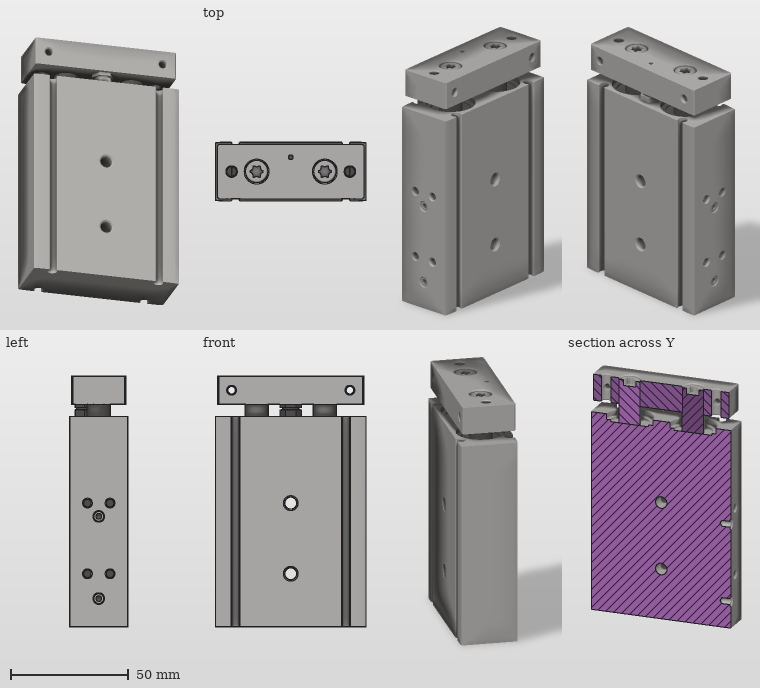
import cadquery as cq
import math

TOTAL_HEIGHT = 106.5
HOUSING_WIDTH = 64.0
HOUSING_DEPTH = 25.0
HOUSING_HEIGHT = 89.5
PLATE_WIDTH = 62.1
PLATE_DEPTH = 23.1
PLATE_HEIGHT = 11.9
PLATE_EDGE_CHAMFER = 0.6

PLATE_BOTTOM = TOTAL_HEIGHT - PLATE_HEIGHT
PLATE_MIDDLE = PLATE_BOTTOM + PLATE_HEIGHT / 2
ROD_OFFSET = 14.5

EDGE_CURVE_WIDTH = 3.6
EDGE_CURVE_RADIUS = 21.3

SLOT_OFFSET = 23.4
SLOT_NECK_WIDTH = 3.0
SLOT_MOUTH_CHAMFER = 0.4
SLOT_ROUND_DIAMETER = 4.0
SLOT_ROUND_DEPTH = 2.0

RECESS_DIAMETER = 21.0
RECESS_MOUTH = 21.5
RECESS_DEPTH = 2.5
INNER_RECESS_DIAMETER = 17.3
INNER_RECESS_DEPTH = 3.3

MOUNT_HOLE_DIAMETER = 5.0
MOUNT_HOLE_MOUTH = 6.3
MOUNT_HOLE_HEIGHTS = (22.6, 52.6)
SIDE_HOLE_DIAMETER = 3.2
SIDE_HOLE_MOUTH = 4.2
SIDE_HOLE_DEPTH = 5.3
SIDE_HOLE_OFFSET = 4.8
PORT_DIAMETER = 4.2
PORT_MOUTH = 4.9
PORT_DEPTH = 0.5
PORT_DRILL_DIAMETER = 2.5
PORT_DRILL_DEPTH = 4.3
PORT_HEIGHTS = (12.0, 47.0)
DRILL_POINT_ANGLE = 118.0

PLATE_HOLE_OFFSET = 25.1
PLATE_HOLE_DIAMETER = 4.2
PLATE_HOLE_MOUTH = 4.9
CROSS_HOLE_DIAMETER = 3.2
CROSS_HOLE_MOUTH = 4.2
ACCESS_HOLE_DIAMETER = 2.0

ROD_DIAMETER = 10.0
ROD_NECK_DIAMETER = 9.5
ROD_HOLE_MOUTH = 10.5
ROD_TOP_GAP = 0.5
ROD_END_ROUND = 0.7
SOCKET_LOBES = 6
SOCKET_DIAMETER = 5.5
SOCKET_WAIST = 4.0
SOCKET_FLANK_DIAMETER = 5.1
SOCKET_TIP_ANGLE = 20.0
SOCKET_DEPTH = 2.7

BOLT_Y = 6.1
HEX_FLATS = 8.0
BOLT_HEAD_HEIGHT = 2.9
BOLT_HEAD_CROWN = 7.5
BOLT_HEAD_CHAMFER_ANGLE = 15.0
BOLT_COLLAR_DIAMETER = 6.9
NUT_HEIGHT = 1.4
BOLT_SHANK_DIAMETER = 5.0


def tapered_hole(start, direction, diameter, mouth, depth):
    """Round hole with a 45 degree chamfer at the mouth."""
    mouth_depth = (mouth - diameter) / 2
    bore = cq.Solid.makeCylinder(diameter / 2, depth, start, direction)
    chamfer = cq.Solid.makeCone(mouth / 2, diameter / 2, mouth_depth, start, direction)
    return bore.fuse(chamfer)


def through_hole(start, direction, diameter, mouth, length):
    """Round hole that passes through and has a chamfer at both mouths."""
    near = tapered_hole(start, direction, diameter, mouth, length)
    far = tapered_hole(start + direction * length, -direction, diameter, mouth, length)
    return near.fuse(far)


def sensor_slot(x, side):
    """Slot along the whole housing in the broad face on the given Y side."""
    face_y = HOUSING_DEPTH / 2
    neck = SLOT_NECK_WIDTH / 2
    mouth = neck + SLOT_MOUTH_CHAMFER
    center_y = face_y - SLOT_ROUND_DEPTH
    profile = [
        (x - mouth, side * face_y),
        (x - neck, side * (face_y - SLOT_MOUTH_CHAMFER)),
        (x - neck, side * center_y),
        (x + neck, side * center_y),
        (x + neck, side * (face_y - SLOT_MOUTH_CHAMFER)),
        (x + mouth, side * face_y),
    ]
    opening = cq.Workplane("XY").polyline(profile).close().extrude(HOUSING_HEIGHT)
    bottom_circle = cq.Workplane("XY").center(x, side * center_y).circle(SLOT_ROUND_DIAMETER / 2)
    return opening.union(bottom_circle.extrude(HOUSING_HEIGHT))


def port(height):
    """Threaded port in the -X side with a drilled hole in its floor."""
    inward = cq.Vector(1, 0, 0)
    start = cq.Vector(-HOUSING_WIDTH / 2, 0, height)
    radius = PORT_DRILL_DIAMETER / 2
    point_height = radius / math.tan(math.radians(DRILL_POINT_ANGLE / 2))
    drill = cq.Solid.makeCylinder(radius, PORT_DRILL_DEPTH, start, inward)
    point = cq.Solid.makeCone(radius, 0, point_height, start + inward * PORT_DRILL_DEPTH, inward)
    thread = tapered_hole(start, inward, PORT_DIAMETER, PORT_MOUTH, PORT_DEPTH)
    return thread.fuse(drill, point)


def broad_face_y(x):
    """Half depth of the housing within the curved strip next to the narrow side."""
    run = x - (HOUSING_WIDTH / 2 - EDGE_CURVE_WIDTH)
    sag = EDGE_CURVE_RADIUS - math.sqrt(EDGE_CURVE_RADIUS**2 - run**2)
    return HOUSING_DEPTH / 2 - sag


def make_housing():
    half_width = HOUSING_WIDTH / 2
    half_depth = HOUSING_DEPTH / 2
    flat_x = half_width - EDGE_CURVE_WIDTH
    curve_middle = half_width - EDGE_CURVE_WIDTH / 2
    housing = (
        cq.Workplane("XY")
        .moveTo(-flat_x, half_depth)
        .lineTo(flat_x, half_depth)
        .threePointArc((curve_middle, broad_face_y(curve_middle)), (half_width, broad_face_y(half_width)))
        .lineTo(half_width, 0)
        .lineTo(-half_width, 0)
        .lineTo(-half_width, broad_face_y(half_width))
        .threePointArc((-curve_middle, broad_face_y(curve_middle)), (-flat_x, half_depth))
        .close()
        .extrude(HOUSING_HEIGHT)
    )
    housing = housing.union(housing.mirror("XZ"))
    for x in (-SLOT_OFFSET, SLOT_OFFSET):
        for side in (-1, 1):
            housing = housing.cut(sensor_slot(x, side))
    down = cq.Vector(0, 0, -1)
    for x in (-ROD_OFFSET, ROD_OFFSET):
        top = cq.Vector(x, 0, HOUSING_HEIGHT)
        housing = housing.cut(tapered_hole(top, down, RECESS_DIAMETER, RECESS_MOUTH, RECESS_DEPTH))
        housing = housing.cut(cq.Solid.makeCylinder(INNER_RECESS_DIAMETER / 2, INNER_RECESS_DEPTH, top, down))
    for height in MOUNT_HOLE_HEIGHTS:
        start = cq.Vector(0, -half_depth, height)
        housing = housing.cut(
            through_hole(start, cq.Vector(0, 1, 0), MOUNT_HOLE_DIAMETER, MOUNT_HOLE_MOUTH, HOUSING_DEPTH)
        )
        for y in (-SIDE_HOLE_OFFSET, SIDE_HOLE_OFFSET):
            start = cq.Vector(-half_width, y, height)
            housing = housing.cut(
                tapered_hole(start, cq.Vector(1, 0, 0), SIDE_HOLE_DIAMETER, SIDE_HOLE_MOUTH, SIDE_HOLE_DEPTH)
            )
    for height in PORT_HEIGHTS:
        housing = housing.cut(port(height))
    return housing


def make_plate():
    plate = (
        cq.Workplane("XY", origin=(0, 0, PLATE_BOTTOM))
        .rect(PLATE_WIDTH, PLATE_DEPTH)
        .extrude(PLATE_HEIGHT)
        .edges("|Z")
        .chamfer(PLATE_EDGE_CHAMFER)
    )
    down = cq.Vector(0, 0, -1)
    for side in (-1, 1):
        rod_top = cq.Vector(side * ROD_OFFSET, 0, TOTAL_HEIGHT)
        plate = plate.cut(tapered_hole(rod_top, down, ROD_NECK_DIAMETER, ROD_HOLE_MOUTH, PLATE_HEIGHT))
        hole_top = cq.Vector(side * PLATE_HOLE_OFFSET, 0, TOTAL_HEIGHT)
        plate = plate.cut(through_hole(hole_top, down, PLATE_HOLE_DIAMETER, PLATE_HOLE_MOUTH, PLATE_HEIGHT))
        cross_start = cq.Vector(side * PLATE_HOLE_OFFSET, -PLATE_DEPTH / 2, PLATE_MIDDLE)
        plate = plate.cut(
            through_hole(cross_start, cq.Vector(0, 1, 0), CROSS_HOLE_DIAMETER, CROSS_HOLE_MOUTH, PLATE_DEPTH)
        )
    access_top = cq.Vector(0, BOLT_Y, TOTAL_HEIGHT)
    return plate.cut(cq.Solid.makeCylinder(ACCESS_HOLE_DIAMETER / 2, PLATE_HEIGHT, access_top, down))


def six_lobe_socket(x, top):
    """Socket with rounded tips joined by hollow arcs, one tip on the X axis."""

    def point(diameter, angle):
        turn = math.radians(angle)
        return (diameter / 2 * math.cos(turn), diameter / 2 * math.sin(turn))

    half_tip = SOCKET_TIP_ANGLE / 2
    pitch = 360 / SOCKET_LOBES
    outline = cq.Workplane("XY", origin=(x, 0, top)).moveTo(*point(SOCKET_FLANK_DIAMETER, -half_tip))
    for lobe in range(SOCKET_LOBES):
        tip = lobe * pitch
        outline = outline.threePointArc(
            point(SOCKET_DIAMETER, tip), point(SOCKET_FLANK_DIAMETER, tip + half_tip)
        )
        outline = outline.threePointArc(
            point(SOCKET_WAIST, tip + pitch / 2), point(SOCKET_FLANK_DIAMETER, tip + pitch - half_tip)
        )
    return outline.close().extrude(-SOCKET_DEPTH)


def make_rod(x):
    bottom = HOUSING_HEIGHT - INNER_RECESS_DEPTH
    top = TOTAL_HEIGHT - ROD_TOP_GAP
    rod = cq.Workplane("XY", origin=(x, 0, bottom)).circle(ROD_DIAMETER / 2).extrude(PLATE_BOTTOM - bottom)
    rod = rod.faces(">Z").workplane().circle(ROD_NECK_DIAMETER / 2).extrude(top - PLATE_BOTTOM)
    rod = rod.faces(">Z").edges().fillet(ROD_END_ROUND)
    return rod.cut(six_lobe_socket(x, top))


def hexagon(bottom, height):
    """Hexagonal prism on the bolt axis with two flats facing along Y."""
    corners = HEX_FLATS / math.cos(math.radians(30))
    return cq.Workplane("XY", origin=(0, BOLT_Y, bottom)).polygon(6, corners).extrude(height)


def bolt_cylinder(diameter, bottom, top):
    return cq.Workplane("XY", origin=(0, BOLT_Y, bottom)).circle(diameter / 2).extrude(top - bottom)


def crown_cone(head_top):
    """Cone that bevels the corners of the bolt head down from its round top face."""
    top_radius = BOLT_HEAD_CROWN / 2
    base_radius = top_radius + BOLT_HEAD_HEIGHT / math.tan(math.radians(BOLT_HEAD_CHAMFER_ANGLE))
    base = cq.Vector(0, BOLT_Y, head_top - BOLT_HEAD_HEIGHT)
    return cq.Workplane(cq.Solid.makeCone(base_radius, top_radius, BOLT_HEAD_HEIGHT, base))


def make_bolt():
    head_top = HOUSING_HEIGHT + BOLT_HEAD_HEIGHT
    nut_bottom = PLATE_BOTTOM - NUT_HEIGHT
    head = hexagon(HOUSING_HEIGHT, BOLT_HEAD_HEIGHT).intersect(crown_cone(head_top))
    collar = bolt_cylinder(BOLT_COLLAR_DIAMETER, head_top, nut_bottom)
    shank = bolt_cylinder(BOLT_SHANK_DIAMETER, nut_bottom, PLATE_BOTTOM)
    return head.union(collar).union(shank)


def make_nut():
    nut_bottom = PLATE_BOTTOM - NUT_HEIGHT
    return hexagon(nut_bottom, NUT_HEIGHT).cut(bolt_cylinder(BOLT_SHANK_DIAMETER, nut_bottom, PLATE_BOTTOM))


housing = make_housing()
plate = make_plate()
rods = [make_rod(x) for x in (-ROD_OFFSET, ROD_OFFSET)]
bolt = make_bolt()
nut = make_nut()
result = cq.Compound.makeCompound(
    [housing.val(), plate.val(), *[rod.val() for rod in rods], bolt.val(), nut.val()]
)